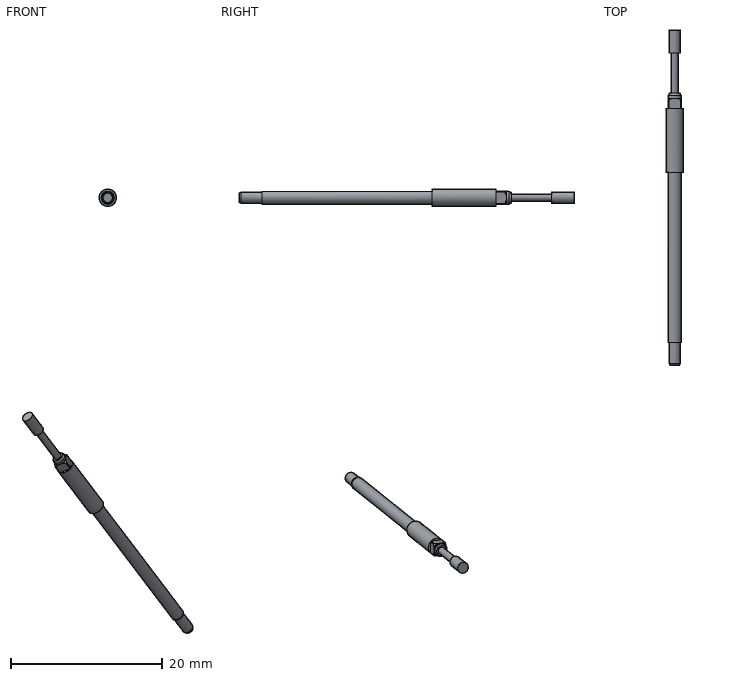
import cadquery as cq

total_length = 44.3
tail_length = 3.0
barrel_start = 25.5
barrel_length = 8.45
flats_length = 1.35
collar_length = 0.35
collar_taper_length = 0.3
head_length = 3.0

tail_diameter = 1.5
tube_diameter = 1.73
barrel_diameter = 2.3
collar_diameter = 1.73
collar_rear_diameter = 1.4
plunger_diameter = 0.97
head_diameter = 1.5

across_flats = 1.73

tail_chamfer_length = 0.25
tail_chamfer_depth = 0.15
flats_chamfer = 0.2

barrel_end = barrel_start + barrel_length
flats_end = barrel_end + flats_length
collar_taper_start = flats_end + collar_length
collar_end = collar_taper_start + collar_taper_length
head_start = total_length - head_length


def cone(start_diameter, end_diameter, start, end):
    """Round section around the Y axis whose diameter changes evenly between two stations."""
    half_profile = [(0, start), (start_diameter / 2, start), (end_diameter / 2, end), (0, end)]
    return cq.Workplane("XY").polyline(half_profile).close().revolve(360, (0, 0, 0), (0, 1, 0))


def cylinder(diameter, start, end):
    """Round section of constant diameter around the Y axis."""
    return cone(diameter, diameter, start, end)


def make_tail():
    """Narrow tail with a slim chamfer around its tip."""
    tip_diameter = tail_diameter - 2 * tail_chamfer_depth
    tip = cone(tip_diameter, tail_diameter, 0, tail_chamfer_length)
    return tip.union(cylinder(tail_diameter, tail_chamfer_length, tail_length))


def make_squared_section():
    """Barrel-sized section cut to a square with rounded corners and a chamfered rear."""
    section = cylinder(barrel_diameter, barrel_end, flats_end).faces(">Y").chamfer(flats_chamfer)
    square = cq.Workplane("XY").box(across_flats, flats_length, across_flats)
    return section.intersect(square.translate((0, barrel_end + flats_length / 2, 0)))


def make_collar():
    """Short round collar that tapers toward the plunger."""
    straight = cylinder(collar_diameter, flats_end, collar_taper_start)
    return straight.union(cone(collar_diameter, collar_rear_diameter, collar_taper_start, collar_end))


def make_plunger():
    """Thin plunger shaft carrying the wider cylindrical head."""
    shaft = cylinder(plunger_diameter, collar_end, head_start)
    return shaft.union(cylinder(head_diameter, head_start, total_length))


result = (
    make_tail()
    .union(cylinder(tube_diameter, tail_length, barrel_start))
    .union(cylinder(barrel_diameter, barrel_start, barrel_end))
    .union(make_squared_section())
    .union(make_collar())
    .union(make_plunger())
)